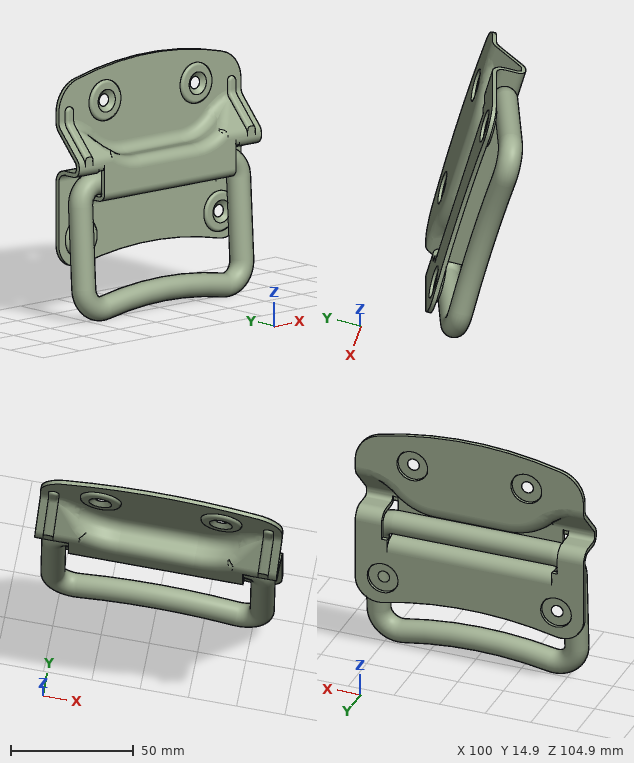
import cadquery as cq
import math


overall_height = 104.9

plate_width = 100.0
plate_depth = 14.2
sheet = 1.8
top_z = 48.1
top_arc_radius = 161.2
top_corner_radius = 13.3
bottom_arc_z = -30.1
bottom_arc_radius = 167.9
bottom_corner_radius = 10.0
margin = 5.2
pick_gap = 0.1

rod_diameter = 9.9
rod_radius = rod_diameter / 2
hinge_y = -7.1
grip_tilt = 3.2
grip_half_width = 43.3
grip_top_bend = 8.4
grip_bottom_bend = 9.3
handhold_radius = 167.9

upper_bend = 4.6
lower_bend = 3.6
side_clearance = 0.1
tongue_clearance = 0.2
slope_foot_z = 26.5
slope_angle = 42.5
side_bend_z = rod_radius + side_clearance + lower_bend
tongue_bend_z = lower_bend - rod_radius - tongue_clearance - sheet

tongue_half_width = 36.1
slot_width = 2.4
slot_front_y = 0.8 - plate_depth
slot_top_z = side_bend_z
slot_bottom_z = -rod_radius

dip_wall_z = 9.3
dip_half_length = 15.8
dip_radius = 24.5
dip_angle = 45.0

boss_radius = 8.5
boss_height = 1.4
boss_rounding = 1.3
countersink_radius = 4.7
hole_radius = 2.5
boss_centres = [(side * x, z) for side in (-1, 1) for x, z in ((25.0, 32.1), (38.0, -23.1))]

rib_x = 44.5
rib_width = 4.2
rib_height = 1.4
rib_end_radius = 2.0
rib_rounding = 1.3
rib_top_z = 32.2


def polar(centre, radius, degrees):
    """Point at an angle around a centre, in any plane."""
    angle = math.radians(degrees)
    return (centre[0] + radius * math.cos(angle), centre[1] + radius * math.sin(angle))


def arc(outline, centre, radius, start, end):
    """Continue an outline with an arc, given by its angles, that begins where the outline is."""
    return outline.threePointArc(polar(centre, radius, (start + end) / 2), polar(centre, radius, end))


def bend(outline, centre, radius, start, end):
    """Continue an outline straight to a bend, then round it."""
    return arc(outline.lineTo(*polar(centre, radius, start)), centre, radius, start, end)


def slope_z(y, inset):
    """Height of the flat slope, extended, at a depth."""
    turn = math.radians(slope_angle)
    corner_z = slope_foot_z - upper_bend * math.tan(turn / 2)
    return corner_z + (y + sheet - inset / math.cos(turn)) / math.tan(turn)


def raised_block(inset):
    """Sharp-edged slope with the front level below it."""
    front_y = inset - plate_depth
    outline = cq.Workplane("YZ").moveTo(margin, slope_z(margin, inset))
    outline = outline.lineTo(front_y, slope_z(front_y, inset))
    outline = outline.lineTo(front_y, -plate_width).lineTo(margin, -plate_width).close()
    return outline.extrude(plate_width, both=True)


def below_shelf(inset, bend_z):
    """Space below the shelf that returns from the front level to the rear level."""
    outline = cq.Workplane("YZ").moveTo(-plate_width, bend_z)
    outline = bend(outline, (lower_bend - plate_depth, bend_z), lower_bend - inset, 180, 270)
    curl_centre = (-sheet - lower_bend, bend_z - 2 * lower_bend)
    outline = bend(outline, curl_centre, lower_bend + inset, 90, 0)
    outline = outline.lineTo(inset - sheet, -2 * plate_width).lineTo(-plate_width, -2 * plate_width).close()
    return outline.extrude(plate_width, both=True)


def dip(inset):
    """Space above the dip's wall, which has a flat middle and an arc and a ramp on each side."""
    arc_centre = (dip_half_length, dip_wall_z + dip_radius)
    radius = dip_radius + inset
    ramp_start = polar(arc_centre, radius, 270 + dip_angle)
    ramp_end = polar(ramp_start, plate_width, dip_angle)
    outline = cq.Workplane("XZ", origin=(0, 2 * margin, 0)).moveTo(0, dip_wall_z - inset)
    outline = bend(outline, arc_centre, radius, 270, 270 + dip_angle)
    half = outline.lineTo(*ramp_end).hLineTo(0).close().extrude(plate_depth + 3 * margin)
    return half.union(half.mirror("YZ"))


def raised_plate(inset):
    """Solid from behind the plate to the sheet surface that lies `inset` below its front, without shelves."""
    raised = raised_block(inset).cut(dip(inset)).clean()
    reach = plate_width - pick_gap
    crest_zone = cq.selectors.BoxSelector((-reach, -plate_width, 0), (reach, margin - pick_gap, plate_width))
    raised = raised.edges(crest_zone).edges("not |Y").fillet(upper_bend - inset)
    rear_y = inset - sheet
    level = cq.Workplane("XY").box(2 * plate_width, margin - rear_y, 2 * plate_width, centered=(True, False, True))
    filled = level.translate((0, rear_y, 0)).union(raised)
    foot_zone = cq.selectors.BoxSelector((-reach, rear_y - pick_gap, 0), (reach, rear_y + pick_gap, reach))
    return filled.edges(foot_zone).fillet(upper_bend + inset)


def bent_sheet(front, rear, bend_z):
    return front.cut(below_shelf(0, bend_z)).cut(rear.cut(below_shelf(sheet, bend_z)))


def plate_outline():
    """Block with the plate's outline, through its whole depth."""
    half = plate_width / 2
    top_side_z = top_z - top_arc_radius + math.sqrt(top_arc_radius**2 - half**2)
    bottom_side_z = bottom_arc_z - bottom_arc_radius + math.sqrt(bottom_arc_radius**2 - half**2)
    block = (
        cq.Workplane("XZ", origin=(0, margin, 0))
        .moveTo(-half, bottom_side_z)
        .threePointArc((0, bottom_arc_z), (half, bottom_side_z))
        .lineTo(half, top_side_z)
        .threePointArc((0, top_z), (-half, top_side_z))
        .close()
        .extrude(plate_depth + 2 * margin)
    )
    block = block.edges("|Y").edges(">Z").fillet(top_corner_radius)
    return block.edges("|Y").edges("<Z").fillet(bottom_corner_radius)


def slot(side):
    """Slot that frees the edge of the tongue from the shelf beside it."""
    return (
        cq.Workplane("XY")
        .box(slot_width, margin - slot_front_y, slot_top_z - slot_bottom_z, centered=(True, False, False))
        .translate((side * (tongue_half_width + slot_width / 2), slot_front_y, slot_bottom_z))
    )


def boss(x, z):
    base = cq.Workplane("XZ", origin=(x, 0, z))
    return base.circle(boss_radius).extrude(sheet + boss_height).faces("<Y").edges().fillet(boss_rounding)


def screw_hole(x, z):
    """Countersink through the raised sheet, and the hollow that raising the boss leaves behind it."""
    countersink = cq.Solid.makeCone(
        countersink_radius, hole_radius, sheet, cq.Vector(x, -sheet - boss_height, z), cq.Vector(0, 1, 0)
    )
    hollow = cq.Workplane("XZ", origin=(x, 0, z)).circle(boss_radius - sheet).extrude(boss_height)
    return hollow.union(cq.Workplane(countersink))


def rib(side):
    """Block up to a rib that runs down the rear level and the slope and ends flush with the front level."""
    base_y = -sheet - rib_height
    bend_centre = (-sheet - upper_bend, slope_foot_z)
    slope_offset = rib_height / math.cos(math.radians(slope_angle))
    end_y = -plate_depth - margin
    end_z = slope_z(end_y + slope_offset, 0)
    outline = cq.Workplane("YZ").moveTo(margin, rib_top_z).lineTo(base_y, rib_top_z)
    outline = bend(outline, bend_centre, upper_bend - rib_height, 0, -slope_angle)
    outline = outline.lineTo(end_y, end_z).lineTo(margin, end_z).close()
    block = outline.extrude(rib_width / 2, both=True)
    block = block.edges("|Y").edges(">Z").fillet(rib_end_radius)
    crest_zone = cq.selectors.BoxSelector(
        (-rib_width, end_y - pick_gap, end_z), (rib_width, base_y + pick_gap, rib_top_z + pick_gap)
    )
    block = block.edges(crest_zone).edges("not (|X or |Y)").fillet(rib_rounding)
    beyond_front = cq.Workplane("XY").box(plate_width, 2 * margin, plate_width)
    block = block.cut(beyond_front.translate((0, -plate_depth - margin, 0)))
    return block.translate((side * rib_x, 0, 0))


def make_plate():
    front = raised_plate(0)
    rear = raised_plate(sheet)
    for side in (-1, 1):
        front = front.union(rib(side))
    tongue = bent_sheet(front, rear, tongue_bend_z)
    sides = bent_sheet(front, rear, side_bend_z)
    tongue_zone = cq.Workplane("XY").box(2 * tongue_half_width, 2 * plate_width, 4 * plate_width)
    plate = sides.cut(tongue_zone).union(tongue.intersect(tongue_zone)).intersect(plate_outline())
    for side in (-1, 1):
        plate = plate.cut(slot(side))
    for x, z in boss_centres:
        plate = plate.union(boss(x, z)).cut(screw_hole(x, z))
    return plate.solids()


def make_grip():
    """Closed rod loop, drawn upright around the hinge axis and then tilted forward."""
    top_bend_x = grip_half_width - grip_top_bend
    bottom_bend_x = grip_half_width - grip_bottom_bend
    lowest_z = (top_z - overall_height + rod_radius) / math.cos(math.radians(grip_tilt))
    bottom_bend_z = lowest_z + grip_bottom_bend
    centre_distance = handhold_radius + grip_bottom_bend
    handhold_centre = (0, bottom_bend_z - math.sqrt(centre_distance**2 - bottom_bend_x**2))
    touch = math.degrees(math.acos(bottom_bend_x / centre_distance))

    path = cq.Workplane("XZ").moveTo(0, 0)
    path = bend(path, (top_bend_x, -grip_top_bend), grip_top_bend, 90, 0)
    path = bend(path, (bottom_bend_x, bottom_bend_z), grip_bottom_bend, 0, touch - 180)
    path = arc(path, handhold_centre, handhold_radius, touch, 180 - touch)
    path = arc(path, (-bottom_bend_x, bottom_bend_z), grip_bottom_bend, -touch, -180)
    path = bend(path, (-top_bend_x, -grip_top_bend), grip_top_bend, 180, 90).close()
    grip = cq.Workplane("YZ").circle(rod_radius).sweep(path)
    return grip.rotate((0, 0, 0), (1, 0, 0), -grip_tilt).translate((0, hinge_y, 0))


plate = make_plate()
grip = make_grip()
result = cq.Compound.makeCompound([plate.val(), grip.val()])